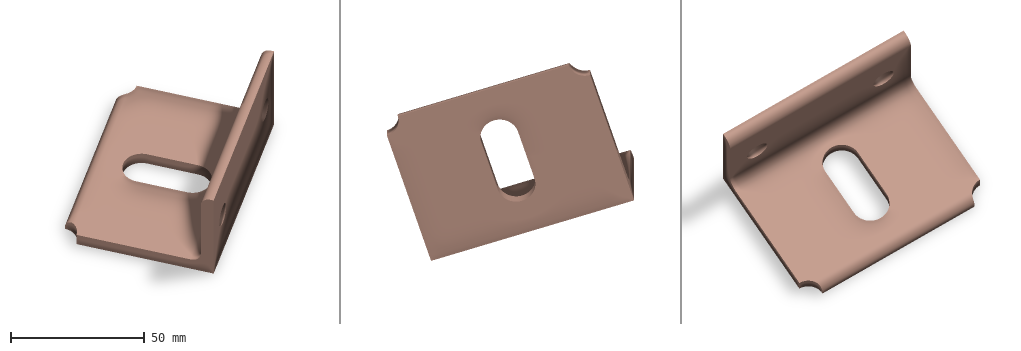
import cadquery as cq

BASE_LENGTH = 60.0
WIDTH = 80.0
WALL_HEIGHT = 40.0
THICKNESS = 5.0

EDGE_RADIUS = 4.0
INNER_RADIUS = 4.0

CORNER_NOTCH_RADIUS = 6.3

SLOT_LENGTH = 34.4
SLOT_WIDTH = 14.5

HOLE_DIAMETER = 9.0
HOLE_SPACING = 56.0


def make_profile_body():
    """L-shaped section with rounded edges, extruded along Y about the mid-plane."""
    wall_face = BASE_LENGTH - THICKNESS
    body = (
        cq.Workplane("XZ")
        .polyline([
            (0, 0),
            (BASE_LENGTH, 0),
            (BASE_LENGTH, WALL_HEIGHT),
            (wall_face, WALL_HEIGHT),
            (wall_face, THICKNESS),
            (0, THICKNESS),
        ])
        .close()
        .extrude(WIDTH / 2, both=True)
    )
    body = body.edges(cq.NearestToPointSelector((wall_face, 0, THICKNESS))).fillet(INNER_RADIUS)
    body = body.edges(cq.NearestToPointSelector((wall_face, 0, WALL_HEIGHT))).fillet(EDGE_RADIUS)
    return body.edges(cq.NearestToPointSelector((0, 0, THICKNESS))).fillet(EDGE_RADIUS)


def make_corner_notches():
    """Cylinders centred on the two free corners of the base."""
    return (
        cq.Workplane("XY")
        .pushPoints([(0, side * WIDTH / 2) for side in (-1, 1)])
        .circle(CORNER_NOTCH_RADIUS)
        .extrude(THICKNESS)
    )


def make_base_slot():
    """Slot through the middle of the base, long in X."""
    return (
        cq.Workplane("XY")
        .center(BASE_LENGTH / 2, 0)
        .slot2D(SLOT_LENGTH, SLOT_WIDTH)
        .extrude(THICKNESS)
    )


def make_wall_holes():
    """Two round holes through the wall at half its height."""
    return (
        cq.Workplane("YZ", origin=(BASE_LENGTH, 0, 0))
        .pushPoints([(side * HOLE_SPACING / 2, WALL_HEIGHT / 2) for side in (-1, 1)])
        .circle(HOLE_DIAMETER / 2)
        .extrude(-THICKNESS)
    )


result = (
    make_profile_body()
    .cut(make_corner_notches())
    .cut(make_base_slot())
    .cut(make_wall_holes())
)